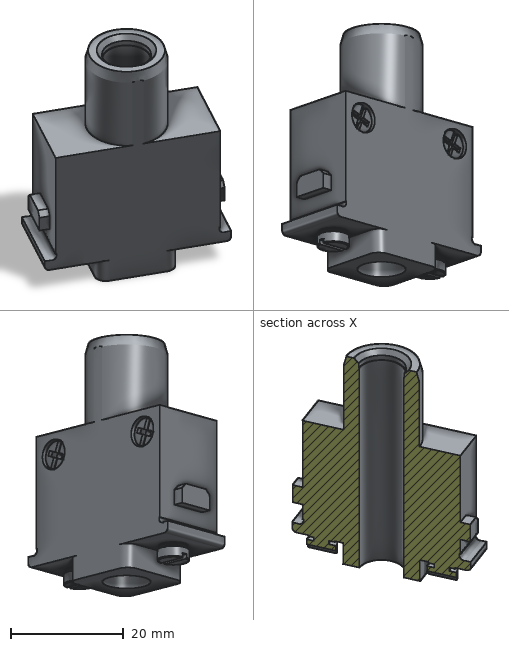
import cadquery as cq
import math

width = 14.6
height = 43.75
half_width = width / 2
housing_length = 30.5
flange_length = 34.5
side_y = housing_length / 2
flange_tip_y = flange_length / 2
base_z = 4.4
shoulder_z = 28.25

flange_top_z = 6.48
flange_tip_radius = 0.9
groove_radius = 0.88
groove_undercut = 0.18
groove_center_z = 7.3
groove_top_z = 7.55

sleeve_diameter = 14.75
sleeve_radius = sleeve_diameter / 2
sleeve_tip_radius = 6.82
sleeve_chamfer_height = 1.95
bore_radius = 4.3
entry_radius = 4.38
entry_depth = 0.95
entry_chamfer = 0.9

plug_length = 14.88
plug_corner_radius = 2.05

lug_width = 7.1
lug_tip_y = 17.15
lug_bottom_z = 10.6
lug_top_z = 14.3
lug_chamfer = 0.95

fixing_y = 11.6
collar_radius = 2.6
collar_bottom_z = 4.2
neck_diameter = 3.0
head_radius = 2.85
head_top_z = 3.6
head_bottom_z = 1.6
head_chamfer = 0.18
head_slot_width = 0.95
head_slot_depth = 0.85

clamp_spacing = 21.9
clamp_z = 24.2
pocket_radius = 2.75
clamp_head_radius = 2.62
clamp_head_recess = 0.7
cross_depth = 0.85
cross_width = 0.95
cross_short_length = 3.95
cross_angle = 21.0
dimple_radius = 0.65
dimple_depth = 0.65


def upright_cylinder(radius, bottom, top):
    return cq.Workplane("XY").workplane(offset=bottom).circle(radius).extrude(top - bottom)


def make_housing():
    """Constant section in YZ: a block with a grooved flange along each lower edge."""
    groove_y = side_y - groove_undercut
    groove_center_y = groove_y + groove_radius
    groove_drop = groove_center_z - flange_top_z
    groove_end_y = groove_center_y + math.sqrt(groove_radius**2 - groove_drop**2)
    arc_offset = groove_radius * math.sqrt(0.5)
    half = (
        cq.Workplane("YZ")
        .workplane(offset=-half_width)
        .moveTo(0, base_z)
        .lineTo(flange_tip_y - flange_tip_radius, base_z)
        .radiusArc((flange_tip_y, base_z + flange_tip_radius), -flange_tip_radius)
        .lineTo(flange_tip_y, flange_top_z)
        .lineTo(groove_end_y, flange_top_z)
        .threePointArc(
            (groove_center_y - arc_offset, groove_center_z - arc_offset),
            (groove_y, groove_center_z),
        )
        .lineTo(groove_y, groove_top_z)
        .lineTo(side_y, groove_top_z)
        .lineTo(side_y, shoulder_z)
        .lineTo(0, shoulder_z)
        .close()
        .extrude(width)
    )
    return half.union(half.mirror("XZ"))


def make_sleeve():
    """Chamfered round sleeve, flattened flush with the housing faces."""
    chamfer_z = height - sleeve_chamfer_height
    sleeve = (
        cq.Workplane("XZ")
        .moveTo(0, base_z)
        .lineTo(sleeve_radius, base_z)
        .lineTo(sleeve_radius, chamfer_z)
        .lineTo(sleeve_tip_radius, height)
        .lineTo(0, height)
        .close()
        .revolve(360, (0, 0), (0, 1))
    )
    envelope = cq.Workplane("XY").box(width, housing_length, height, centered=(True, True, False))
    return sleeve.intersect(envelope)


def make_plug():
    plug = cq.Workplane("XY").rect(width, plug_length).extrude(shoulder_z)
    return plug.edges("|Z").fillet(plug_corner_radius)


def make_bore():
    """Through bore with a short wider entry and a 45 degree chamfer at the top."""
    chamfer_z = height - entry_chamfer
    ledge_z = chamfer_z - entry_depth
    return (
        cq.Workplane("XZ")
        .lineTo(bore_radius, 0)
        .lineTo(bore_radius, ledge_z)
        .lineTo(entry_radius, ledge_z)
        .lineTo(entry_radius, chamfer_z)
        .lineTo(entry_radius + entry_chamfer, height)
        .lineTo(0, height)
        .close()
        .revolve(360, (0, 0), (0, 1))
    )


def make_lugs():
    lugs = cq.Workplane("XY").box(
        lug_width, 2 * lug_tip_y, lug_top_z - lug_bottom_z, centered=(True, True, False)
    )
    return lugs.translate((0, 0, lug_bottom_z)).edges("|Y and >Z").chamfer(lug_chamfer)


def make_fixing_screw():
    """Slotted screw on the Z axis, hanging from the underside of a flange."""
    head = upright_cylinder(head_radius, head_bottom_z, head_top_z)
    head = head.faces("<Z").edges().chamfer(head_chamfer)
    slot = cq.Workplane("XY").box(
        head_slot_width, 2 * head_radius, head_slot_depth, centered=(True, True, False)
    )
    head = head.cut(slot.translate((0, 0, head_bottom_z)))
    neck = upright_cylinder(neck_diameter / 2, head_bottom_z + head_slot_depth, base_z)
    collar = upright_cylinder(collar_radius, collar_bottom_z, base_z)
    return head.union(neck).union(collar)


def make_clamp_pocket():
    """Pocket cutter along +X from the origin that leaves a cross-slotted screw head."""
    slot_floor = clamp_head_recess + cross_depth
    pocket = cq.Workplane("YZ").circle(pocket_radius).extrude(slot_floor)
    head = (
        cq.Workplane("YZ")
        .workplane(offset=clamp_head_recess)
        .circle(clamp_head_radius)
        .extrude(cross_depth)
    )
    cross = cq.Workplane("YZ").rect(cross_width, 2 * pocket_radius).extrude(slot_floor)
    cross = cross.union(cq.Workplane("YZ").rect(cross_short_length, cross_width).extrude(slot_floor))
    cross = cross.rotate((0, 0, 0), (1, 0, 0), cross_angle)
    dimple = cq.Solid.makeCone(
        dimple_radius, 0, dimple_depth, pnt=cq.Vector(slot_floor, 0, 0), dir=cq.Vector(1, 0, 0)
    )
    return pocket.cut(head.cut(cross)).union(cq.Workplane(dimple))


result = make_housing().union(make_sleeve()).union(make_plug()).union(make_lugs())
result = result.cut(make_bore())
for side in (-1, 1):
    result = result.union(make_fixing_screw().translate((0, side * fixing_y, 0)))
    result = result.cut(make_clamp_pocket().translate((-half_width, side * clamp_spacing / 2, clamp_z)))